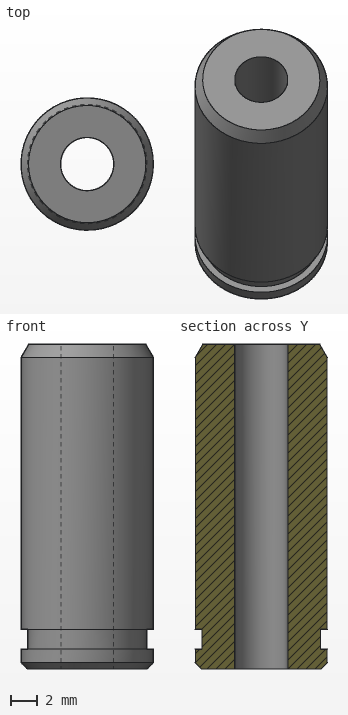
import cadquery as cq
import math

length = 24.5
outer_diameter = 10.0
bore_diameter = 4.0

groove_diameter = 9.0
groove_bottom = 1.5
groove_top = 3.0

bottom_chamfer = 0.5
top_taper_height = 1.0
top_taper_angle = 30.0

outer_radius = outer_diameter / 2
groove_radius = groove_diameter / 2
bore_radius = bore_diameter / 2
top_radius = outer_radius - top_taper_height * math.tan(math.radians(top_taper_angle))

half_section = [
    (bore_radius, 0),
    (outer_radius - bottom_chamfer, 0),
    (outer_radius, bottom_chamfer),
    (outer_radius, groove_bottom),
    (groove_radius, groove_bottom),
    (groove_radius, groove_top),
    (outer_radius, groove_top),
    (outer_radius, length - top_taper_height),
    (top_radius, length),
    (bore_radius, length),
]

result = (
    cq.Workplane("XZ")
    .polyline(half_section)
    .close()
    .revolve(360, (0, 0, 0), (0, 1, 0))
)